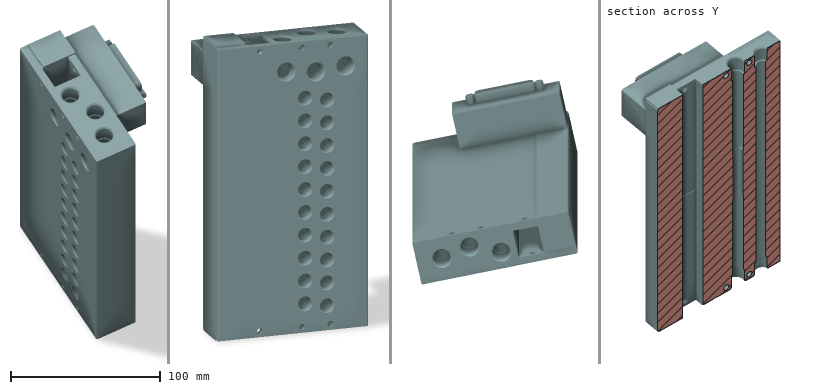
import cadquery as cq
import math

block_width = 106.7
block_depth = 30.0
overall_height = 206.0
bar_overhang = 1.2
block_bottom = bar_overhang
block_top = overall_height - bar_overhang
block_height = block_top - block_bottom
edge_break = 0.6

bar_left = edge_break
bar_width = 21.2
bar_front = 6.0
bar_rear = 30.5

channel_left = bar_left + bar_width
channel_width = 17.3
channel_front = 5.2
channel_depth_upper = 19.8
channel_depth_lower = 19.4

port_diameter = 11.5
port_mouth_diameter = 13.4
port_depth = 11.3
passage_diameter = 9.5
port_places = [(49.9, 11.3), (69.8, 19.4), (89.6, 15.2)]
slotted_place = port_places[1]
slot_width = 8.0
slot_start = 82.5
slot_length = 41.2

front_port_places = [(48.6, 184.8), (69.6, 182.7), (90.6, 184.8)]

outlet_count = 10
outlet_column_length = 144.0
outlet_pitch = outlet_column_length / (outlet_count - 1)
outlet_diameter = 9.0
outlet_mouth_diameter = 10.3
outlet_depth = 11.3
outlet_columns = [(62.0, 165.2), (77.5, 162.3)]

mount_diameter = 4.1
mount_end_distance = 4.1
mount_columns = [29.9, 59.7, 79.7]

housing_left = bar_left
housing_width = 73.3
housing_bottom = 171.0
housing_height = 24.7
housing_rear = 55.8

connector_rear = 61.8
connector_length = connector_rear - housing_rear
connector_center_x = 37.3
shell_bottom = 182.5
shell_height = 9.7
shell_top_width = 38.7
shell_side_angle = 10.0
shell_corner_radius = 2.7
screw_spacing = 47.2
screw_across_corners = 6.0
screw_z = 185.8

inward = (0, 1, 0)


def box(left, front, bottom, width, depth, height):
    return cq.Workplane("XY").box(width, depth, height, centered=False).translate((left, front, bottom))


def chamfered_bore(start, direction, diameter, mouth_diameter, depth):
    """Flat-bottomed bore with a 45 degree chamfer at its mouth."""
    chamfer_depth = (mouth_diameter - diameter) / 2
    point = cq.Vector(*start)
    axis = cq.Vector(*direction)
    bore = cq.Solid.makeCylinder(diameter / 2, depth, point, axis)
    mouth = cq.Solid.makeCone(mouth_diameter / 2, diameter / 2, chamfer_depth, point, axis)
    return cq.Workplane(bore.fuse(mouth))


def port(start, direction):
    return chamfered_bore(start, direction, port_diameter, port_mouth_diameter, port_depth)


def make_block():
    block = box(0, 0, block_bottom, block_width, block_depth, block_height)
    return block.edges("|Z").chamfer(edge_break)


def make_bar():
    return box(bar_left, bar_front, 0, bar_width, bar_rear - bar_front, overall_height)


def make_housing():
    housing_depth = housing_rear - block_depth
    housing = box(housing_left, block_depth, housing_bottom, housing_width, housing_depth, housing_height)
    return housing.faces("<X").edges("|Y").chamfer(edge_break)


def make_connector():
    rear_plane = cq.Plane(origin=(connector_center_x, housing_rear, 0), xDir=(-1, 0, 0), normal=(0, 1, 0))
    half_top = shell_top_width / 2
    half_bottom = half_top + shell_height * math.tan(math.radians(shell_side_angle))
    shell_top = shell_bottom + shell_height
    shell = (
        cq.Workplane(rear_plane)
        .moveTo(-half_bottom, shell_bottom)
        .lineTo(half_bottom, shell_bottom)
        .lineTo(half_top, shell_top)
        .lineTo(-half_top, shell_top)
        .close()
        .extrude(connector_length)
        .edges("|Y")
        .fillet(shell_corner_radius)
    )
    screws = (
        cq.Workplane(rear_plane)
        .pushPoints([(-screw_spacing / 2, screw_z), (screw_spacing / 2, screw_z)])
        .polygon(6, screw_across_corners)
        .extrude(connector_length)
    )
    return shell.union(screws)


def cut_channel(part):
    middle = overall_height / 2
    upper = box(channel_left, channel_front, middle, channel_width, channel_depth_upper, middle)
    lower = box(channel_left, channel_front, 0, channel_width, channel_depth_lower, middle)
    return part.cut(upper).cut(lower)


def passage(x, y, bottom, top):
    return cq.Workplane("XY", origin=(x, y, bottom)).circle(passage_diameter / 2).extrude(top - bottom)


def slotted_passage(x, y):
    slot_end = slot_start + slot_length
    slot_front = y - passage_diameter / 2
    slot_box = box(x - slot_width / 2, slot_front, slot_start, slot_width, passage_diameter, slot_length)
    slot = passage(x, y, slot_start, slot_end).intersect(slot_box)
    return passage(x, y, block_bottom, slot_start).union(slot).union(passage(x, y, slot_end, block_top))


def cut_end_ports(part):
    for x, y in port_places:
        if (x, y) == slotted_place:
            part = part.cut(slotted_passage(x, y))
        else:
            part = part.cut(passage(x, y, block_bottom, block_top))
        part = part.cut(port((x, y, block_top), (0, 0, -1)))
        part = part.cut(port((x, y, block_bottom), (0, 0, 1)))
    return part


def cut_front_ports(part):
    for x, z in front_port_places:
        part = part.cut(port((x, 0, z), inward))
    return part


def cut_outlets(part):
    for x, highest_z in outlet_columns:
        for row in range(outlet_count):
            start = (x, 0, highest_z - row * outlet_pitch)
            outlet = chamfered_bore(start, inward, outlet_diameter, outlet_mouth_diameter, outlet_depth)
            part = part.cut(outlet)
    return part


def cut_mounting_holes(part):
    for x in mount_columns:
        for z in (block_bottom + mount_end_distance, block_top - mount_end_distance):
            start = cq.Vector(x, 0, z)
            hole = cq.Solid.makeCylinder(mount_diameter / 2, block_depth, start, cq.Vector(*inward))
            part = part.cut(cq.Workplane(hole))
    return part


result = make_block().union(make_housing()).union(make_connector()).union(make_bar())
result = cut_channel(result)
result = cut_end_ports(result)
result = cut_front_ports(result)
result = cut_outlets(result)
result = cut_mounting_holes(result)